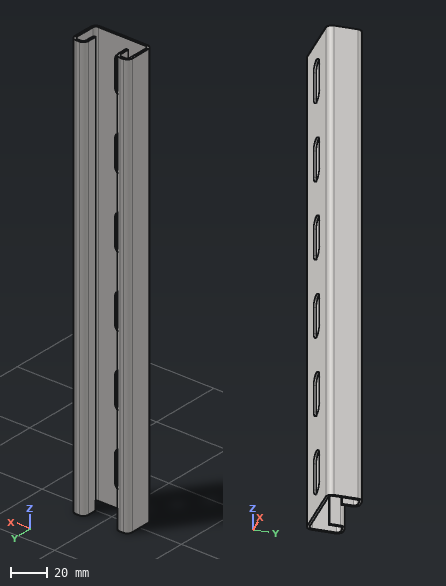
import cadquery as cq

LENGTH = 300.0
WIDTH = 41.0
DEPTH = 21.0

SHEET = 1.5
BEND_RADIUS = 3.5
LIP_WIDTH = 9.5
LIP_DEPTH = 10.0

SLOT_COUNT = 6
SLOT_PITCH = LENGTH / SLOT_COUNT
SLOT_LENGTH = 27.0
SLOT_WIDTH = 10.2


def rounded_tube():
    """Closed tube with rounded corners, one sheet thick, before it is opened."""
    outer = cq.Workplane("XY").box(WIDTH, DEPTH, LENGTH)
    outer = outer.edges("|Z").fillet(BEND_RADIUS)
    inner = cq.Workplane("XY").box(WIDTH - 2 * SHEET, DEPTH - 2 * SHEET, LENGTH)
    inner = inner.edges("|Z").fillet(BEND_RADIUS - SHEET)
    return outer.cut(inner)


def lip(side):
    """Flange and returned lip on one side; side is -1 for -X and +1 for +X."""
    flange_center = (side * (WIDTH - LIP_WIDTH) / 2, (DEPTH - LIP_DEPTH) / 2)
    flange = cq.Workplane("XY").center(*flange_center).box(LIP_WIDTH, LIP_DEPTH, LENGTH)
    flange = flange.edges("|Z and >Y").fillet(BEND_RADIUS)
    hollow = (
        cq.Workplane("XY")
        .center(flange_center[0], flange_center[1] - SHEET)
        .box(LIP_WIDTH - 2 * SHEET, LIP_DEPTH, LENGTH)
        .edges("|Z and >Y")
        .fillet(BEND_RADIUS - SHEET)
    )
    return flange.cut(hollow)


def web_slots():
    """Evenly pitched round-ended slots through the web, running along Z."""
    return (
        cq.Workplane("XZ", origin=(0, -DEPTH / 2 + SHEET, 0))
        .rarray(3, SLOT_PITCH, 1, SLOT_COUNT)
        .slot2D(SLOT_LENGTH, SLOT_WIDTH, 90)
        .extrude(2 * SHEET)
    )


result = rounded_tube()
open_side = cq.Workplane("XY").center(0, DEPTH / 2).box(WIDTH, 2 * LIP_DEPTH, LENGTH)
result = result.cut(open_side)
for side in (-1, 1):
    result = result.union(lip(side))
result = result.cut(web_slots())